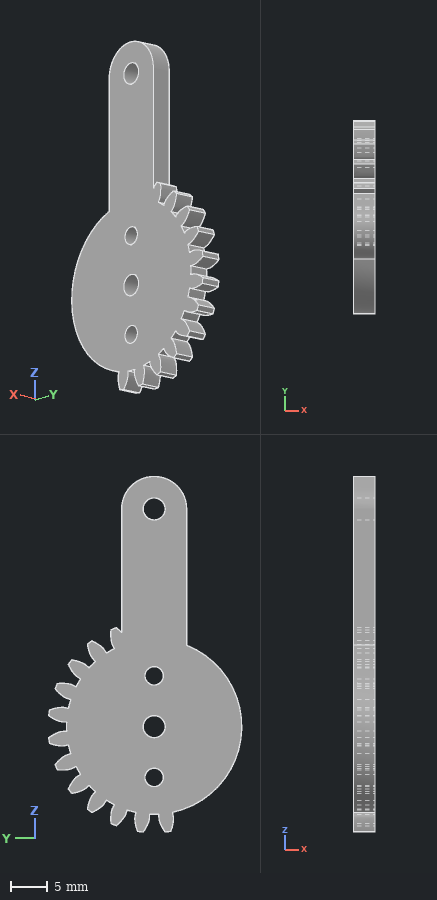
import cadquery as cq
import math

thickness = 3.0
module = 1.125
tooth_count = 24
pressure_angle = math.radians(20.0)
dedendum_factor = 1.25
first_tooth = -7
last_tooth = 4
arm_width = 9.0
arm_length = 30.0
pivot_hole_diameter = 3.0
screw_hole_diameter = 2.5
screw_hole_offset = 7.0
flank_point_count = 6
tooth_embed = 1.0

pitch_radius = module * tooth_count / 2
tip_radius = pitch_radius + module
root_radius = pitch_radius - dedendum_factor * module
base_radius = pitch_radius * math.cos(pressure_angle)
tooth_pitch = 2 * math.pi / tooth_count


def involute(angle):
    """Involute function of a pressure angle."""
    return math.tan(angle) - angle


base_half_angle = tooth_pitch / 4 + involute(pressure_angle)


def polar(radius, angle):
    """Point or direction at a radius and an angle."""
    return (radius * math.cos(angle), radius * math.sin(angle))


def half_angle_at(radius):
    """Half of the angle a tooth spans at a radius on its involute flank."""
    return base_half_angle - involute(math.acos(base_radius / radius))


def make_tooth(centre_angle):
    """One involute tooth, with radial flanks below the base circle."""
    tip_roll = math.sqrt((tip_radius / base_radius) ** 2 - 1)
    rolls = [tip_roll * i / (flank_point_count - 1) for i in range(flank_point_count)]
    radii = [base_radius * math.sqrt(1 + roll ** 2) for roll in rolls]
    lower_flank = [polar(r, centre_angle - half_angle_at(r)) for r in radii]
    upper_flank = [polar(r, centre_angle + half_angle_at(r)) for r in reversed(radii)]
    foot_radius = root_radius - tooth_embed
    lower_angle = centre_angle - base_half_angle
    upper_angle = centre_angle + base_half_angle
    lower_tangents = [polar(1, lower_angle), polar(1, lower_angle + tip_roll)]
    upper_tangents = [polar(-1, upper_angle - tip_roll), polar(-1, upper_angle)]
    return (
        cq.Workplane("YZ")
        .moveTo(*polar(foot_radius, lower_angle))
        .lineTo(*lower_flank[0])
        .spline(lower_flank[1:], tangents=lower_tangents, includeCurrent=True)
        .threePointArc(polar(tip_radius, centre_angle), upper_flank[0])
        .spline(upper_flank[1:], tangents=upper_tangents, includeCurrent=True)
        .lineTo(*polar(foot_radius, upper_angle))
        .close()
        .extrude(thickness)
    )


def make_arm():
    """Straight arm rising from the gear centre, with a rounded end."""
    half_width = arm_width / 2
    return (
        cq.Workplane("YZ")
        .moveTo(-half_width, 0)
        .lineTo(-half_width, arm_length)
        .threePointArc((0, arm_length + half_width), (half_width, arm_length))
        .lineTo(half_width, 0)
        .close()
        .extrude(thickness)
    )


def make_holes(diameter, heights):
    """Through-hole cutters on the part's centreline."""
    centres = [(0, height) for height in heights]
    return cq.Workplane("YZ").pushPoints(centres).circle(diameter / 2).extrude(thickness)


body = cq.Workplane("YZ").circle(root_radius).extrude(thickness)
body = body.union(make_arm())

for tooth_number in range(first_tooth, last_tooth + 1):
    body = body.union(make_tooth((tooth_number + 0.5) * tooth_pitch))

body = body.cut(make_holes(pivot_hole_diameter, (0, arm_length)))
body = body.cut(make_holes(screw_hole_diameter, (-screw_hole_offset, screw_hole_offset)))

result = body